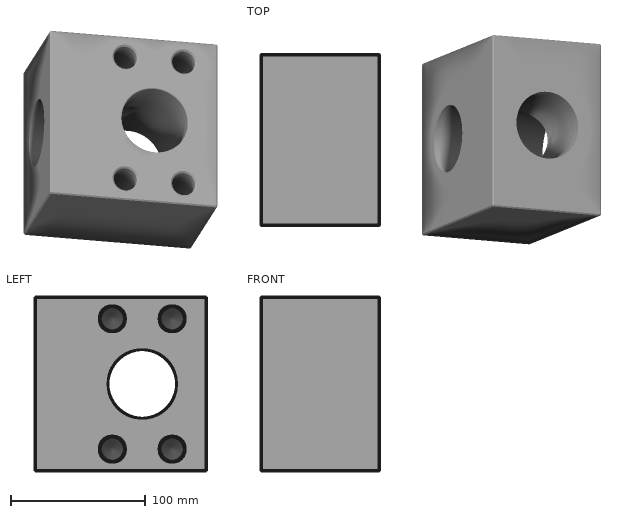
import cadquery as cq
import math

LENGTH_X = 89.0
WIDTH_Y = 128.0
HEIGHT_Z = 130.0
EDGE_CHAMFER = 1.0

BORE_DIAMETER = 50.5
BORE_AXIS_Y = -16.0
BORE_MOUTH_CHAMFER = 0.5

BOLT_HOLE_DIAMETER = 17.5
BOLT_MOUTH_DIAMETER = 20.0
BOLT_HOLE_DEPTH = 40.0
DRILL_TIP_ANGLE = 118.0
BOLT_SPACING_Y = 44.5
BOLT_SPACING_Z = 97.0

FACE_X = -LENGTH_X / 2


def turned_about_x(profile, y, z):
    """Revolve an (inset from the -X face, radius) profile about the X-parallel axis at (y, z)."""
    half_section = cq.Workplane("XY", origin=(FACE_X, y, z)).polyline(profile).close()
    return half_section.revolve(360, (0, 0), (1, 0))


def run_cutter():
    """Through bore along X with a small chamfer at its -X mouth."""
    radius = BORE_DIAMETER / 2
    profile = [
        (0, 0),
        (0, radius + BORE_MOUTH_CHAMFER),
        (BORE_MOUTH_CHAMFER, radius),
        (LENGTH_X, radius),
        (LENGTH_X, 0),
    ]
    return turned_about_x(profile, BORE_AXIS_Y, 0)


def branch_cutter():
    """Bore of the run's diameter, from the run's axis out through the +Y face."""
    branch_length = WIDTH_Y / 2 - BORE_AXIS_Y
    plane = cq.Plane(origin=(0, BORE_AXIS_Y, 0), xDir=(1, 0, 0), normal=(0, 1, 0))
    return cq.Workplane(plane).circle(BORE_DIAMETER / 2).extrude(branch_length)


def bolt_hole_cutter(y, z):
    """Blind drilled hole with a 45 degree countersunk mouth and a conical tip."""
    radius = BOLT_HOLE_DIAMETER / 2
    mouth_radius = BOLT_MOUTH_DIAMETER / 2
    tip_length = radius / math.tan(math.radians(DRILL_TIP_ANGLE / 2))
    profile = [
        (0, 0),
        (0, mouth_radius),
        (mouth_radius - radius, radius),
        (BOLT_HOLE_DEPTH, radius),
        (BOLT_HOLE_DEPTH + tip_length, 0),
    ]
    return turned_about_x(profile, y, z)


block = cq.Workplane("XY").box(LENGTH_X, WIDTH_Y, HEIGHT_Z)
result = block.edges().chamfer(EDGE_CHAMFER)

result = result.cut(run_cutter())
result = result.cut(branch_cutter())

for side_y in (-1, 1):
    for side_z in (-1, 1):
        hole_y = BORE_AXIS_Y + side_y * BOLT_SPACING_Y / 2
        hole_z = side_z * BOLT_SPACING_Z / 2
        result = result.cut(bolt_hole_cutter(hole_y, hole_z))